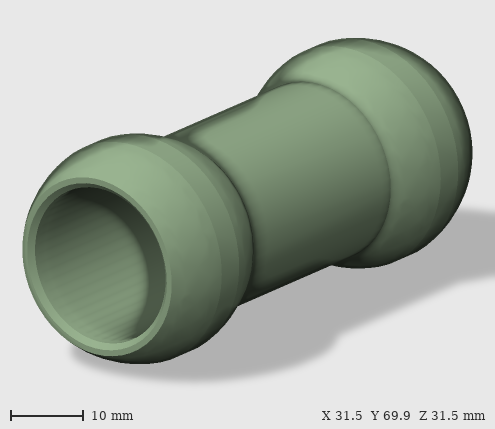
import cadquery as cq
import math

length = 69.85
tube_radius = 25.4 / 2
bore_radius = 22.2 / 2
bore_chamfer = 0.8

bead_radius = 31.5 / 2
bead_length = 19.0
band_length = 4.05

half_length = length / 2
flank_length = (bead_length - band_length) / 2
bead_rise = bead_radius - tube_radius

flank_arc_radius = 17.45
flank_chord = math.hypot(flank_length, bead_rise)
flank_bulge = flank_arc_radius - math.sqrt(flank_arc_radius**2 - (flank_chord / 2) ** 2)
flank_mid_run = flank_length / 2 + flank_bulge * bead_rise / flank_chord
flank_mid_radius = (tube_radius + bead_radius) / 2 + flank_bulge * flank_length / flank_chord


def make_bead():
    """Solid bead at the +Y end of the tube."""
    band_outer = half_length - flank_length
    band_inner = band_outer - band_length
    bead_start = half_length - bead_length
    return (
        cq.Workplane("XY")
        .moveTo(0, bead_start)
        .lineTo(tube_radius, bead_start)
        .threePointArc((flank_mid_radius, band_inner - flank_mid_run), (bead_radius, band_inner))
        .lineTo(bead_radius, band_outer)
        .threePointArc((flank_mid_radius, band_outer + flank_mid_run), (tube_radius, half_length))
        .lineTo(0, half_length)
        .close()
        .revolve(360, (0, 0, 0), (0, 1, 0))
    )


def make_bore():
    """Through bore with a 45 degree chamfer at both mouths."""
    mouth_radius = bore_radius + bore_chamfer
    chamfer_start = half_length - bore_chamfer
    return (
        cq.Workplane("XY")
        .moveTo(0, -half_length)
        .lineTo(mouth_radius, -half_length)
        .lineTo(bore_radius, -chamfer_start)
        .lineTo(bore_radius, chamfer_start)
        .lineTo(mouth_radius, half_length)
        .lineTo(0, half_length)
        .close()
        .revolve(360, (0, 0, 0), (0, 1, 0))
    )


tube = cq.Workplane("XZ").circle(tube_radius).extrude(half_length, both=True)
bead = make_bead()
result = tube.union(bead).union(bead.mirror("XZ")).cut(make_bore())